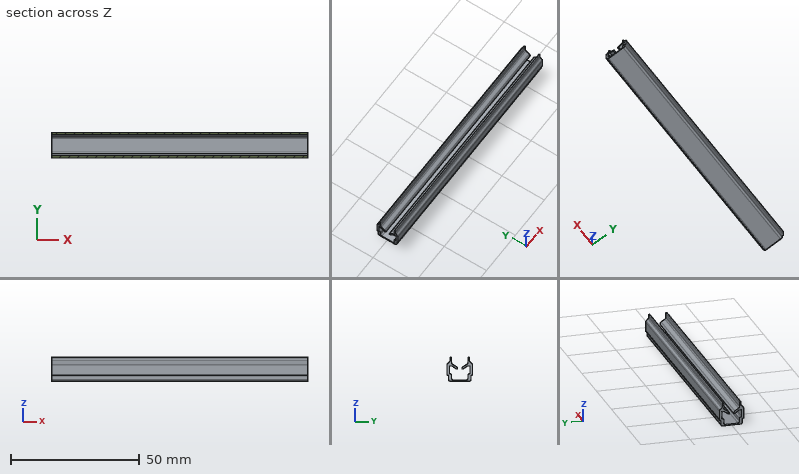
import cadquery as cq

length = 100.0
width = 10.0
height = 9.5

base_half_width = 4.4
floor_thickness = 0.6
cavity_half_width = 3.2
base_radius = 0.8
floor_radius = 0.6

half_width = width / 2
wall_thickness = 1.0
wall_inner = half_width - wall_thickness
wall_bottom = 2.4
wall_top = 6.7
step_radius = 0.29
wall_top_radius = 0.5
ledge_height = 3.0
ledge_radius = 0.5
ledge_corner_radius = 0.2

lip_outer = 3.8
lip_inner = 3.2
lip_radius = (lip_outer - lip_inner) / 2
lip_root_radius = 0.8
shoulder_height = wall_top + half_width - lip_outer
arm_top = 7.0
arm_root_radius = 0.8
roof_height = 6.0
arm_root = 3.0
tip_inner = 0.8
tip_outer = 1.4
tip_bottom = 4.8
nose_start = 1.3
nose_height = 5.8
nose_radius = 1.2


def half_profile():
    """Outline of the +Y wall with its half of the floor, in the YZ plane."""
    return (
        cq.Workplane("YZ")
        .moveTo(0, 0)
        .lineTo(base_half_width, 0)
        .lineTo(base_half_width, wall_bottom)
        .lineTo(half_width, wall_bottom)
        .lineTo(half_width, wall_top)
        .lineTo(lip_outer, shoulder_height)
        .lineTo(lip_outer, height - lip_radius)
        .threePointArc((lip_outer - lip_radius, height), (lip_inner, height - lip_radius))
        .lineTo(lip_inner, arm_top)
        .lineTo(nose_start, nose_height)
        .radiusArc((tip_inner, tip_bottom), -nose_radius)
        .lineTo(tip_outer, tip_bottom)
        .lineTo(arm_root, roof_height)
        .lineTo(wall_inner, roof_height)
        .lineTo(wall_inner, ledge_height)
        .lineTo(cavity_half_width, ledge_height)
        .lineTo(cavity_half_width, floor_thickness)
        .lineTo(0, floor_thickness)
        .close()
    )


def round_corner(body, y, z, radius):
    """Fillet the lengthwise edge that runs through the profile corner (y, z)."""
    corner = cq.selectors.NearestToPointSelector((length / 2, y, z))
    return body.edges("|X").edges(corner).fillet(radius)


half_channel = half_profile().extrude(length)

rounded_corners = [
    (base_half_width, 0, base_radius),
    (base_half_width, wall_bottom, step_radius),
    (half_width, wall_bottom, step_radius),
    (half_width, wall_top, wall_top_radius),
    (lip_outer, shoulder_height, lip_root_radius),
    (lip_inner, arm_top, arm_root_radius),
    (wall_inner, ledge_height, ledge_corner_radius),
    (cavity_half_width, ledge_height, ledge_radius),
    (cavity_half_width, floor_thickness, floor_radius),
]
for corner_y, corner_z, corner_radius in rounded_corners:
    half_channel = round_corner(half_channel, corner_y, corner_z, corner_radius)

result = half_channel.union(half_channel.mirror("XZ")).clean()